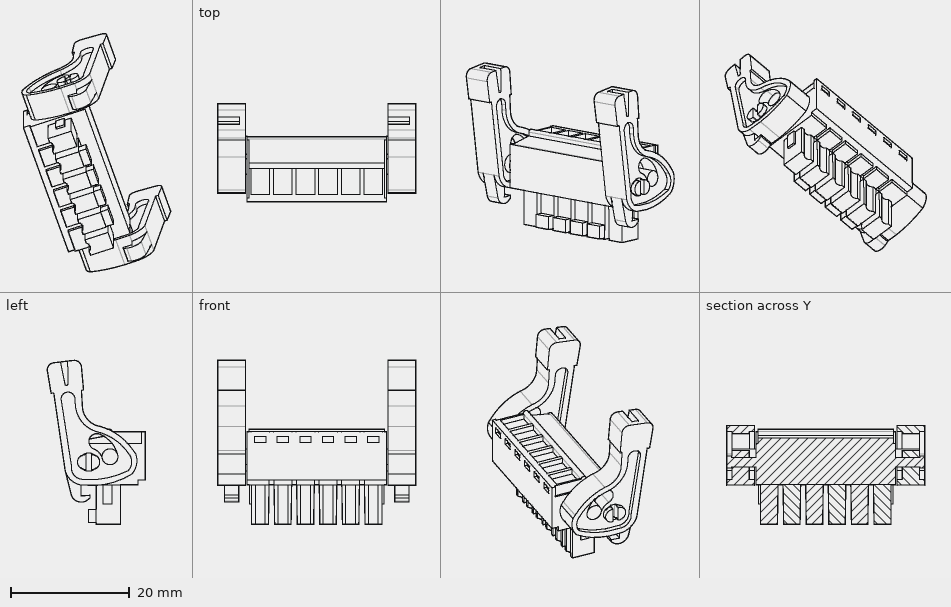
import cadquery as cq
import math


pole_count = 6
pole_pitch = 3.8
pole_centers = [(i - (pole_count - 1) / 2) * pole_pitch for i in range(pole_count)]

housing_half_width = 11.77
housing_front = -9.55
housing_rear = 1.45
housing_top = 5.12
housing_bottom = -3.85
front_step_y = -8.35
front_step_z = -3.05
rear_ledge_z = 3.68
rear_ledge_width = 0.4
slope_top_z = 4.45
rod_half_width = 0.5
rod_rise = 0.45
rod_y = -3.48
side_relief_depth = 0.35
side_relief_floor = 3.15
side_relief_front = -8.93
side_relief_rear = 0.85
pocket_width = 3.15
pocket_depth = 0.95
pocket_front = -8.35
pocket_rear = rod_y - rod_half_width
window_width = 1.9
window_height = 1.05
window_bottom = 3.28
window_depth = 0.47

leg_front = -5.4
leg_rear = -1.27
leg_bottom = -10.5
leg_top_half_width = 1.5
leg_bottom_half_width = 1.4
groove_half_width = 0.85
groove_depth = 0.45
key_length = 1.3
key_bottom = -10.25
key_top = -8.0
rib_thickness = 0.35
rib_front = -3.9
rib_rear = -2.4
rib_bottom = -7.1

lever_outer_x = 16.72
lever_width = 4.7
lever_recess_depth = 0.87
grip_corner_radius = 1.25
grip_slot_depth = 3.65
hook_width = 2.45
lever_middle_x = lever_outer_x - lever_width / 2
web_outer_x = lever_outer_x - lever_recess_depth

pivot_radius = 1.55
pivot_lip_length = 3.75
pivot_lip_height = 2.48
pivot_slot_width = 0.95
pivot_slot_depth = 2.0
guide_pin_radius = 1.35
guide_path_radius = 3.7
guide_start_angle = 166.0
guide_end_angle = 112.0


def box(x_range, y_range, z_range):
    """Axis-aligned block between pairs of limits."""
    size = [high - low for low, high in (x_range, y_range, z_range)]
    corner = (x_range[0], y_range[0], z_range[0])
    return cq.Workplane("XY").box(*size, centered=False).translate(corner)


def polar(radius, degrees):
    """Point in the YZ plane at an angle measured from +Y about the pivot axis."""
    angle = math.radians(degrees)
    return radius * math.cos(angle), radius * math.sin(angle)


def housing_block():
    """Main prism with the front step, the sloped rear top and the rod along it."""
    rod_rear = rod_y + rod_half_width
    return (
        cq.Workplane("YZ", origin=(-housing_half_width, 0, 0))
        .moveTo(housing_rear, housing_bottom)
        .lineTo(front_step_y, housing_bottom)
        .lineTo(front_step_y, front_step_z)
        .lineTo(housing_front, front_step_z)
        .lineTo(housing_front, housing_top)
        .lineTo(pocket_rear, housing_top)
        .threePointArc((rod_y, housing_top + rod_rise), (rod_rear, housing_top))
        .lineTo(rod_rear, slope_top_z)
        .lineTo(housing_rear - rear_ledge_width, rear_ledge_z)
        .lineTo(housing_rear, rear_ledge_z)
        .close()
        .extrude(2 * housing_half_width)
    )


def side_relief():
    """Cutter for the shallow relief at the top of the -X end."""
    return box(
        (-housing_half_width, -housing_half_width + side_relief_depth),
        (side_relief_front, side_relief_rear),
        (side_relief_floor, housing_top + rod_rise),
    )


def pole_pocket(x):
    """Cutter for one rectangular pocket in the top face."""
    return box(
        (x - pocket_width / 2, x + pocket_width / 2),
        (pocket_front, pocket_rear),
        (housing_top - pocket_depth, housing_top),
    )


def pole_window(x):
    """Cutter for one blind window in the front face."""
    return box(
        (x - window_width / 2, x + window_width / 2),
        (housing_front, housing_front + window_depth),
        (window_bottom, window_bottom + window_height),
    )


def gap_notch(x):
    """Cutter for the notch under the front step, centred between two legs."""
    half_gap = pole_pitch / 2 - leg_top_half_width
    return box((x - half_gap, x + half_gap), (front_step_y, leg_front), (housing_bottom, front_step_z))


def pivot():
    """Split snap pivot on the -X end, with lips that hold the lever web."""
    shaft = (
        cq.Workplane("YZ", origin=(-web_outer_x, 0, 0))
        .circle(pivot_radius)
        .extrude(web_outer_x - housing_half_width)
    )
    lips = (
        cq.Workplane("YZ", origin=(-lever_outer_x, 0, 0))
        .slot2D(pivot_lip_length, pivot_lip_height)
        .extrude(lever_recess_depth)
    )
    half_slot = pivot_slot_width / 2
    slot_floor_x = -lever_outer_x + pivot_slot_depth
    slot = (
        cq.Workplane("XY", origin=(0, 0, -pivot_radius))
        .moveTo(-lever_outer_x, half_slot)
        .lineTo(slot_floor_x - half_slot, half_slot)
        .threePointArc((slot_floor_x, 0), (slot_floor_x - half_slot, -half_slot))
        .lineTo(-lever_outer_x, -half_slot)
        .close()
        .extrude(2 * pivot_radius)
    )
    return shaft.union(lips).cut(slot)


def guide_pin():
    """Round pin on the -X end that runs in the curved slot of the lever."""
    return (
        cq.Workplane("YZ", origin=(-web_outer_x, 0, 0))
        .center(*polar(guide_path_radius, guide_start_angle))
        .circle(guide_pin_radius)
        .extrude(web_outer_x - housing_half_width)
    )


def make_housing():
    body = housing_block()
    for x in pole_centers:
        body = body.cut(pole_pocket(x)).cut(pole_window(x))
    for x in pole_centers[1:]:
        body = body.cut(gap_notch(x - pole_pitch / 2))
    relief = side_relief()
    body = body.cut(relief).cut(relief.mirror("YZ"))
    for pin in (pivot(), guide_pin()):
        body = body.union(pin).union(pin.mirror("YZ"))
    return body


def make_leg(index):
    """One drafted leg with a front groove.

    An end leg has an upright outer side with a rib; the others have a key at the rear.
    """
    x = pole_centers[index]
    is_first = index == 0
    is_last = index == pole_count - 1
    left_foot = leg_top_half_width if is_first else leg_bottom_half_width
    right_foot = leg_top_half_width if is_last else leg_bottom_half_width
    leg = (
        cq.Workplane("XZ", origin=(x, leg_rear, 0))
        .polyline([
            (-leg_top_half_width, housing_bottom),
            (leg_top_half_width, housing_bottom),
            (right_foot, leg_bottom),
            (-left_foot, leg_bottom),
        ])
        .close()
        .extrude(leg_rear - leg_front)
    )
    groove = (
        cq.Workplane("XY", origin=(x, leg_front, leg_bottom))
        .moveTo(-groove_half_width, 0)
        .threePointArc((0, groove_depth), (groove_half_width, 0))
        .close()
        .extrude(housing_bottom - leg_bottom)
    )
    leg = leg.cut(groove)
    if is_first or is_last:
        outward = -1 if is_first else 1
        flank = x + outward * leg_top_half_width
        rib_sides = sorted((flank, flank + outward * rib_thickness))
        leg = leg.union(box(rib_sides, (rib_front, rib_rear), (rib_bottom, housing_bottom)))
    else:
        key_sides = (x - leg_bottom_half_width, x + leg_bottom_half_width)
        leg = leg.union(box(key_sides, (leg_rear, leg_rear + key_length), (key_bottom, key_top)))
    return leg


def lever_arm():
    """Arm below the grip, with the rounded cam-shaped foot around the pivot."""
    return (
        cq.Workplane("YZ", origin=(-lever_outer_x, 0, 0))
        .moveTo(5.9, 12.2)
        .lineTo(1.2, 12.2)
        .lineTo(1.05, 9.5)
        .threePointArc((0.17, 7.2), (-2.05, 6.02))
        .threePointArc((-5.02, 4.55), (-7.55, 1.95))
        .lineTo(-7.95, 1.37)
        .threePointArc((-8.13, -0.15), (-7.33, -2.0))
        .threePointArc((-4.2, -3.4), (-1.2, -3.95))
        .lineTo(1.27, -3.88)
        .threePointArc((2.95, -3.08), (3.98, -1.45))
        .lineTo(5.9, 11.55)
        .close()
        .extrude(lever_width)
    )


def lever_grip():
    """Thicker finger grip with rounded top corners."""
    return (
        cq.Workplane("YZ", origin=(-lever_outer_x, 0, 0))
        .polyline([(6.35, 11.6), (7.2, 16.62), (1.3, 17.33), (0.85, 12.15)])
        .close()
        .extrude(lever_width)
        .edges("|X and (>Z or >Y)")
        .fillet(grip_corner_radius)
    )


def grip_slot():
    """Cutter for the tapered slot in the grip, open on top and on the -X face."""
    return (
        cq.Workplane("YZ", origin=(-lever_outer_x, 0, 0))
        .moveTo(4.85, 17.4)
        .lineTo(4.0, 13.25)
        .threePointArc((3.75, 12.95), (3.48, 13.25))
        .lineTo(3.55, 17.4)
        .close()
        .extrude(grip_slot_depth)
    )


def lever_recess(x):
    """Cutter for the recess that leaves a rim around the web, starting at x."""
    return (
        cq.Workplane("YZ", origin=(x, 0, 0))
        .moveTo(4.65, 10.65)
        .threePointArc((3.48, 11.8), (2.3, 10.65))
        .lineTo(2.25, 9.65)
        .threePointArc((1.27, 6.95), (-1.3, 5.15))
        .threePointArc((-4.3, 3.85), (-6.8, 1.37))
        .threePointArc((-7.25, -0.2), (-6.7, -1.45))
        .threePointArc((-4.3, -2.37), (-1.6, -2.9))
        .lineTo(1.07, -2.9)
        .threePointArc((2.3, -2.37), (2.88, -0.77))
        .close()
        .extrude(lever_recess_depth)
    )


def guide_slot():
    """Cutter for the curved slot, concentric with the pivot, that clears the guide pin."""
    inner = guide_path_radius - guide_pin_radius
    outer = guide_path_radius + guide_pin_radius
    middle_angle = (guide_start_angle + guide_end_angle) / 2
    sweep = (
        cq.Workplane("YZ", origin=(-lever_outer_x, 0, 0))
        .moveTo(*polar(inner, guide_start_angle))
        .threePointArc(polar(inner, middle_angle), polar(inner, guide_end_angle))
        .lineTo(*polar(outer, guide_end_angle))
        .threePointArc(polar(outer, middle_angle), polar(outer, guide_start_angle))
        .close()
        .extrude(lever_width)
    )
    ends = (
        cq.Workplane("YZ", origin=(-lever_outer_x, 0, 0))
        .pushPoints([polar(guide_path_radius, a) for a in (guide_start_angle, guide_end_angle)])
        .circle(guide_pin_radius)
        .extrude(lever_width)
    )
    return sweep.union(ends)


def lever_hook():
    """Narrow latching hook below the arm, centred in its width."""
    return (
        cq.Workplane("YZ", origin=(-lever_middle_x - hook_width / 2, 0, 0))
        .moveTo(3.98, -1.45)
        .lineTo(2.95, -5.55)
        .threePointArc((1.55, -6.75), (0.37, -6.55))
        .lineTo(-0.27, -6.05)
        .lineTo(-0.27, -5.6)
        .lineTo(1.27, -5.7)
        .lineTo(1.27, -2.68)
        .close()
        .extrude(hook_width)
    )


def make_lever():
    """Lever at the -X end."""
    inner_recess_x = -lever_outer_x + lever_width - lever_recess_depth
    pivot_hole = (
        cq.Workplane("YZ", origin=(-lever_outer_x, 0, 0))
        .circle(pivot_radius)
        .extrude(lever_width)
    )
    return (
        lever_arm()
        .union(lever_grip())
        .cut(lever_recess(-lever_outer_x))
        .cut(lever_recess(inner_recess_x))
        .union(lever_hook())
        .cut(grip_slot())
        .cut(guide_slot())
        .cut(pivot_hole)
    )


housing = make_housing()
legs = [make_leg(i) for i in range(pole_count)]
lever = make_lever()
levers = [lever.translate((shift, 0, 0)) for shift in (0, 2 * lever_middle_x)]

result = cq.Compound.makeCompound([body.val() for body in [housing, *legs, *levers]])